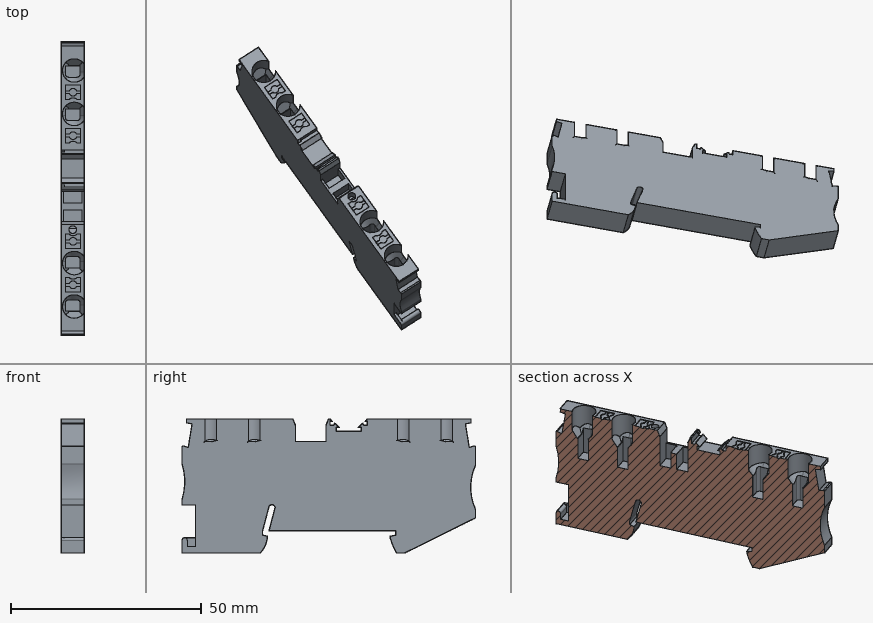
import cadquery as cq
import math

LENGTH = 76.9
HEIGHT = 35.2
THICK = 6.15
HALF_LENGTH = LENGTH / 2
HALF_THICK = THICK / 2

LIP_Y = 37.3
LIP_Z = 34.15
NECK_TOP = (35.8, 33.8)
NECK_BOTTOM = (36.8, 27.75)
SHOULDER_CREST = (38.1, 28.15)
SHOULDER_Z = 28.0

FAR_HOLLOW_Z = (11.5, 23.0)
FAR_HOLLOW_DEPTH = 1.2
NEAR_HOLLOW_Z = (14.15, 23.4)
NEAR_HOLLOW_DEPTH = 0.7

FOOT_CORNER_Z = 9.2
FOOT_FAR_Y = 19.85
FOOT_NEAR_Y = 17.8
SEAT_Z = 5.85
SEAT_FAR_Y = 17.5
HOOK_TOP_Z = 4.8
HOOK_TIP_Z = 4.45
HOOK_NOSE_Z = 4.0
HOOK_TIP_Y = 16.1
HOOK_BELLY = (16.8, 2.0)
LATCH_BELLY = (-16.7, 1.85)
LATCH_TOE_Y = -18.0
LATCH_BACK_Y = -17.3
FLEX_SLOT_NEAR_TOP = (-15.7, 12.0)
FLEX_SLOT_FAR_TOP = (-14.1, 12.0)
FLEX_SLOT_CREST = (-14.85, 12.7)
FLEX_SLOT_MOUTH_Y = -15.7

END_NOTCH_Y = -34.9
END_NOTCH_Z = (4.1, 12.6)
FOOT_ROUND = 0.7
FOOT_POCKET_DEPTH = 2.3
FOOT_POCKET_WALL = 0.8

GROOVE_Y = 5.2
GROOVE_FLOOR_Z = 32.0
GROOVE_HALF_WIDTH = 3.2
RIDGE_TIP_HALF = 2.45
RIDGE_TIP_Z = 33.0
RIDGE_PEAK_HALF = 3.7
RIDGE_PEAK_Z = 34.15
RIDGE_ROOT_HALF = 3.9
RIDGE_ROOT_Z = 33.5
GROOVE_TOP_HALF = 4.85
STOP_LENGTH = 0.9
STOP_REACH = 0.5
STOP_DROP = 0.7

CHANNEL_Y = (-8.7, -0.8)
CHANNEL_FLOOR_Z = 29.3
CHANNEL_BEVEL_Z = 33.45
CHANNEL_BEVEL = 0.7
JUMPER_POCKET_WIDTH = 4.9
JUMPER_POCKET_LENGTH = 3.1
JUMPER_POCKET_DEPTH = 4.6

WELL_Y = (19.5, 30.9)
WELL_X = 0.4
WELL_RADIUS = 3.1
WELL_DEPTH = 5.4
FUNNEL_DEPTH = 2.45
FUNNEL_TAPER = 35.0
FUNNEL_SHIFT = 0.4
WIRE_HOLE_X = 0.0
WIRE_HOLE_WIDTH = 3.85
WIRE_HOLE_INNER = 1.8
WIRE_HOLE_OUTER = 1.2
WIRE_HOLE_ROUND = 0.85
WIRE_HOLE_DEPTH = 13.85

BUTTON_X = 0.1
BUTTON_OFFSET = 5.7
BUTTON_WIDTH = 4.0
BUTTON_LENGTH = 3.85
BUTTON_RECESS = 0.15
BUTTON_SCALLOP_RADIUS = 1.4
BUTTON_SCALLOP_DEPTH = 0.45
DRIVER_SLOT_WIDTH = 0.8
DRIVER_SLOT_RADIUS = 1.0
DRIVER_SLOT_DEPTH = 0.2

PROBE_Y = -10.8
PROBE_RADIUS = 1.0
PROBE_DEPTH = 3.1
PROBE_FLAT = 0.7


def side_profile():
    """Outline of the plate in the Y-Z plane, walked from the far end around the bottom."""
    far_mid_z = sum(FAR_HOLLOW_Z) / 2
    near_mid_z = sum(NEAR_HOLLOW_Z) / 2
    half = HALF_LENGTH
    round_inset = FOOT_ROUND * (1 - math.sqrt(0.5))

    outline = (
        cq.Workplane("YZ")
        .moveTo(LIP_Y, HEIGHT)
        .lineTo(LIP_Y, LIP_Z)
        .lineTo(*NECK_TOP)
        .lineTo(*NECK_BOTTOM)
        .lineTo(*SHOULDER_CREST)
        .lineTo(half, SHOULDER_Z)
        .lineTo(half, FAR_HOLLOW_Z[1])
        .threePointArc((half - FAR_HOLLOW_DEPTH, far_mid_z), (half, FAR_HOLLOW_Z[0]))
        .lineTo(half, FOOT_CORNER_Z)
        .lineTo(FOOT_FAR_Y, 0)
        .lineTo(FOOT_NEAR_Y, 0)
        .threePointArc(HOOK_BELLY, (HOOK_TIP_Y, HOOK_NOSE_Z))
        .lineTo(HOOK_TIP_Y, HOOK_TIP_Z)
        .lineTo(SEAT_FAR_Y, HOOK_TOP_Z)
        .lineTo(SEAT_FAR_Y, SEAT_Z)
        .lineTo(FLEX_SLOT_MOUTH_Y, SEAT_Z)
        .lineTo(*FLEX_SLOT_FAR_TOP)
        .threePointArc(FLEX_SLOT_CREST, FLEX_SLOT_NEAR_TOP)
        .lineTo(LATCH_BACK_Y, SEAT_Z)
        .lineTo(LATCH_BACK_Y, HOOK_TOP_Z)
        .lineTo(-HOOK_TIP_Y, HOOK_TIP_Z)
        .lineTo(-HOOK_TIP_Y, HOOK_NOSE_Z)
        .threePointArc(LATCH_BELLY, (LATCH_TOE_Y, 0))
        .lineTo(-half, 0)
        .lineTo(-half, END_NOTCH_Z[0] - FOOT_ROUND)
        .threePointArc(
            (-half + round_inset, END_NOTCH_Z[0] - round_inset),
            (-half + FOOT_ROUND, END_NOTCH_Z[0]),
        )
        .lineTo(END_NOTCH_Y, END_NOTCH_Z[0])
        .lineTo(END_NOTCH_Y, END_NOTCH_Z[1])
        .lineTo(-half, END_NOTCH_Z[1])
        .lineTo(-half, NEAR_HOLLOW_Z[0])
        .threePointArc((-half + NEAR_HOLLOW_DEPTH, near_mid_z), (-half, NEAR_HOLLOW_Z[1]))
        .lineTo(-half, SHOULDER_Z)
        .lineTo(-SHOULDER_CREST[0], SHOULDER_CREST[1])
        .lineTo(-NECK_BOTTOM[0], NECK_BOTTOM[1])
        .lineTo(-NECK_TOP[0], NECK_TOP[1])
        .lineTo(-LIP_Y, LIP_Z)
        .lineTo(-LIP_Y, HEIGHT)
        .close()
    )
    return outline.extrude(HALF_THICK, both=True)


def foot_pocket():
    """Pocket behind the rounded foot lip, open at +X and walled at -X, with a rounded lip edge."""
    near_y = -HALF_LENGTH + 2 * FOOT_ROUND
    lip_z = END_NOTCH_Z[0]
    return (
        cq.Workplane("YZ", origin=(-HALF_THICK + FOOT_POCKET_WALL, 0, 0))
        .moveTo(END_NOTCH_Y, lip_z)
        .lineTo(END_NOTCH_Y, lip_z - FOOT_POCKET_DEPTH)
        .lineTo(near_y, lip_z - FOOT_POCKET_DEPTH)
        .lineTo(near_y, lip_z - FOOT_ROUND)
        .radiusArc((near_y - FOOT_ROUND, lip_z), -FOOT_ROUND)
        .close()
        .extrude(THICK)
    )


def cut_across(points):
    """Full-thickness prism with the given Y-Z corners."""
    return cq.Workplane("YZ").polyline(points).close().extrude(THICK, both=True)


def marker_groove():
    half_points = [
        (GROOVE_TOP_HALF, HEIGHT),
        (GROOVE_TOP_HALF, RIDGE_ROOT_Z),
        (RIDGE_ROOT_HALF, RIDGE_ROOT_Z),
        (RIDGE_PEAK_HALF, RIDGE_PEAK_Z),
        (RIDGE_TIP_HALF, RIDGE_TIP_Z),
        (GROOVE_HALF_WIDTH, RIDGE_TIP_Z),
        (GROOVE_HALF_WIDTH, GROOVE_FLOOR_Z),
    ]
    far_side = [(GROOVE_Y + y, z) for y, z in half_points]
    near_side = [(GROOVE_Y - y, z) for y, z in reversed(half_points)]
    return cut_across(far_side + near_side)


def marker_stops():
    """Small triangular lugs overhanging the groove at the -X face."""
    stops = cq.Workplane("YZ")
    for side in (1, -1):
        wall_y = GROOVE_Y + side * GROOVE_TOP_HALF
        stop = (
            cq.Workplane("YZ", origin=(-HALF_THICK, 0, 0))
            .moveTo(wall_y, HEIGHT)
            .lineTo(wall_y - side * STOP_REACH, HEIGHT - STOP_DROP)
            .lineTo(wall_y, HEIGHT - STOP_DROP)
            .close()
            .extrude(STOP_LENGTH)
        )
        stops = stops.add(stop)
    return stops.combine()


def jumper_channel():
    near_y, far_y = CHANNEL_Y
    channel = cut_across([
        (near_y - CHANNEL_BEVEL, HEIGHT),
        (near_y, CHANNEL_BEVEL_Z),
        (near_y, CHANNEL_FLOOR_Z),
        (far_y, CHANNEL_FLOOR_Z),
        (far_y, CHANNEL_BEVEL_Z),
        (far_y + CHANNEL_BEVEL, HEIGHT),
    ])
    for y in (near_y + JUMPER_POCKET_LENGTH / 2, far_y - JUMPER_POCKET_LENGTH / 2):
        pocket = (
            cq.Workplane("XY", origin=(0, y, CHANNEL_FLOOR_Z))
            .rect(JUMPER_POCKET_WIDTH, JUMPER_POCKET_LENGTH)
            .extrude(-JUMPER_POCKET_DEPTH)
        )
        channel = channel.union(pocket)
    return channel


def wire_well(y):
    """Round well, tapered U-shaped funnel and rectangular wire hole, for the +Y half."""
    well = (
        cq.Workplane("XY", origin=(WELL_X, y, HEIGHT))
        .circle(WELL_RADIUS)
        .extrude(-WELL_DEPTH)
    )
    funnel_z = HEIGHT - WELL_DEPTH
    funnel = (
        cq.Workplane("XY", origin=(WELL_X, y - FUNNEL_SHIFT, funnel_z))
        .moveTo(-WELL_RADIUS, 0)
        .threePointArc((0, -WELL_RADIUS), (WELL_RADIUS, 0))
        .lineTo(WELL_RADIUS, WELL_RADIUS + FUNNEL_SHIFT)
        .lineTo(-WELL_RADIUS, WELL_RADIUS + FUNNEL_SHIFT)
        .close()
        .extrude(-FUNNEL_DEPTH, taper=FUNNEL_TAPER)
    )
    shaft = (
        cq.Workplane("XY", origin=(WELL_X, y, funnel_z))
        .circle(WELL_RADIUS)
        .extrude(-FUNNEL_DEPTH)
    )
    hole_mid_y = y + (WIRE_HOLE_OUTER - WIRE_HOLE_INNER) / 2
    wire_hole = (
        cq.Workplane("XY", origin=(WIRE_HOLE_X, hole_mid_y, HEIGHT))
        .rect(WIRE_HOLE_WIDTH, WIRE_HOLE_INNER + WIRE_HOLE_OUTER)
        .extrude(-WIRE_HOLE_DEPTH)
        .edges("|Z and <Y")
        .fillet(WIRE_HOLE_ROUND)
    )
    return well.union(funnel.intersect(shaft)).union(wire_hole)


def release_button(y):
    """Recessed button face with a scalloped inboard edge and a driver slot, for the +Y half."""
    top = cq.Workplane("XY", origin=(BUTTON_X, y, HEIGHT))
    scallop_y = -BUTTON_LENGTH / 2 + BUTTON_SCALLOP_DEPTH - BUTTON_SCALLOP_RADIUS
    scallop = top.center(0, scallop_y).circle(BUTTON_SCALLOP_RADIUS).extrude(-BUTTON_RECESS)
    face = top.rect(BUTTON_WIDTH, BUTTON_LENGTH).extrude(-BUTTON_RECESS).cut(scallop)
    slot_depth = BUTTON_RECESS + DRIVER_SLOT_DEPTH
    bar = top.rect(BUTTON_WIDTH, DRIVER_SLOT_WIDTH).extrude(-slot_depth)
    centre = top.circle(DRIVER_SLOT_RADIUS).extrude(-slot_depth)
    return face.union(bar).union(centre)


def probe_hole():
    """Blind hole whose floor is flat on the +Y side and rises at 45 degrees toward -Y."""
    hole = (
        cq.Workplane("XY", origin=(0, PROBE_Y, HEIGHT))
        .circle(PROBE_RADIUS)
        .extrude(-PROBE_DEPTH)
    )
    floor_z = HEIGHT - PROBE_DEPTH
    ramp_start = PROBE_Y + PROBE_RADIUS - PROBE_FLAT
    ramp_run = 2 * PROBE_RADIUS
    ramp = cut_across([
        (ramp_start, floor_z),
        (ramp_start - ramp_run, floor_z),
        (ramp_start - ramp_run, floor_z + ramp_run),
    ])
    return hole.cut(ramp)


block = side_profile().cut(marker_groove()).cut(jumper_channel()).cut(foot_pocket())
block = block.union(marker_stops())

for well_y in WELL_Y:
    for cutter in (wire_well(well_y), release_button(well_y - BUTTON_OFFSET)):
        block = block.cut(cutter).cut(cutter.mirror("XZ"))

result = block.cut(probe_hole())